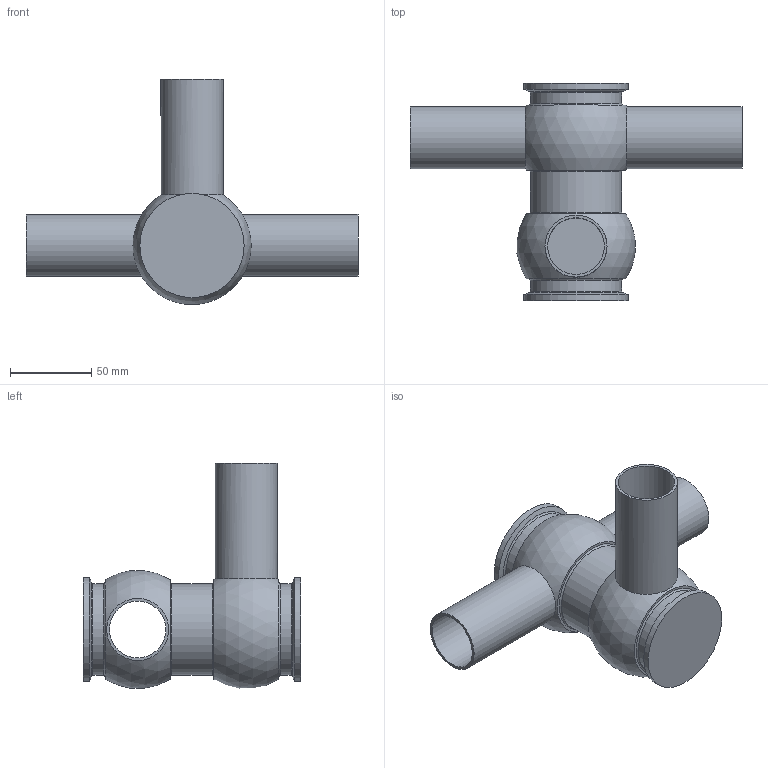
import cadquery as cq
import math

body_length = 133.6
body_radius = 28.0
ball_radius = 36.5
ball_width = 40.0
ball_offset = body_length / 4
neck_fillet = 1.0

flange_radius = 32.0
flange_rim = 3.8
flange_cone_angle = 20.0

pipe_outer_radius = 38.1 / 2
pipe_wall = 1.65
pipe_inner_radius = pipe_outer_radius - pipe_wall
pipe_reach = 203.96 / 2

half_length = body_length / 2
fillet_root_radius = body_radius + neck_fillet
fillet_mid_offset = neck_fillet * (1 - math.sqrt(0.5))
fillet_mid_radius = body_radius + fillet_mid_offset
cone_length = (flange_radius - fillet_root_radius) * math.tan(math.radians(flange_cone_angle))
ball_face_radius = math.sqrt(ball_radius**2 - (ball_width / 2) ** 2)
through_port_y = ball_offset
upright_port_y = -ball_offset


def revolve_about_y(half_profile):
    """Revolve a closed (radius, y) profile a full turn around the Y axis."""
    return half_profile.revolve(360, (0, 0, 0), (0, 1, 0))


def make_body():
    """Round body between the outer faces of the two flanges."""
    return revolve_about_y(
        cq.Workplane("XY")
        .moveTo(0, -half_length)
        .lineTo(body_radius, -half_length)
        .lineTo(body_radius, half_length)
        .lineTo(0, half_length)
        .close()
    )


def make_ball(center_y):
    """Ball with flat end faces, each blended into the body by a concave fillet."""
    lower_y = center_y - ball_width / 2
    upper_y = center_y + ball_width / 2
    return revolve_about_y(
        cq.Workplane("XY")
        .moveTo(0, lower_y - neck_fillet)
        .lineTo(body_radius, lower_y - neck_fillet)
        .threePointArc((fillet_mid_radius, lower_y - fillet_mid_offset), (fillet_root_radius, lower_y))
        .lineTo(ball_face_radius, lower_y)
        .threePointArc((ball_radius, center_y), (ball_face_radius, upper_y))
        .lineTo(fillet_root_radius, upper_y)
        .threePointArc(
            (fillet_mid_radius, upper_y + fillet_mid_offset),
            (body_radius, upper_y + neck_fillet),
        )
        .lineTo(0, upper_y + neck_fillet)
        .close()
    )


def make_flange(side):
    """Clamp flange with a conical back, at the +Y end (side = 1) or the -Y end (side = -1)."""
    rim_y = half_length - flange_rim
    cone_y = rim_y - cone_length
    return revolve_about_y(
        cq.Workplane("XY")
        .moveTo(0, side * (cone_y - neck_fillet))
        .lineTo(body_radius, side * (cone_y - neck_fillet))
        .threePointArc(
            (fillet_mid_radius, side * (cone_y - fillet_mid_offset)),
            (fillet_root_radius, side * cone_y),
        )
        .lineTo(flange_radius, side * rim_y)
        .lineTo(flange_radius, side * half_length)
        .lineTo(0, side * half_length)
        .close()
    )


def through_cylinder(radius):
    """Cylinder along X through the +Y ball, reaching both pipe ends."""
    return (
        cq.Workplane("YZ")
        .center(through_port_y, 0)
        .circle(radius)
        .extrude(pipe_reach, both=True)
    )


def upright_cylinder(radius):
    """Cylinder along +Z from the centre of the -Y ball to the pipe end."""
    return cq.Workplane("XY").center(0, upright_port_y).circle(radius).extrude(pipe_reach)


result = make_body()
for end_side in (-1, 1):
    result = result.union(make_ball(end_side * ball_offset))
    result = result.union(make_flange(end_side))

for port_cylinder in (through_cylinder, upright_cylinder):
    result = result.union(port_cylinder(pipe_outer_radius))
    result = result.cut(port_cylinder(pipe_inner_radius))